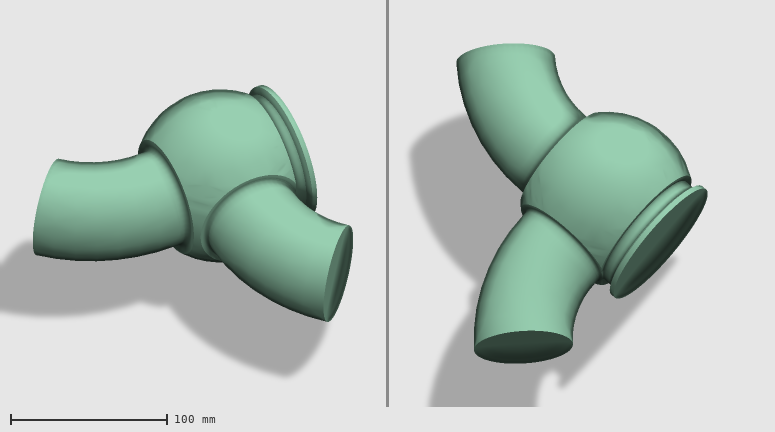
import cadquery as cq
import math

overall_length = 189.0

ball_radius = 55.5
side_flat = 42.0
front_flat = 39.7
back_flat = 32.5

pipe_radius = 31.8
bend_radius = 92.6
bend_angle = 45.0
side_fillet = 1.7
front_fillet = 2.8

bend_reach = (bend_radius + pipe_radius) * math.sin(math.radians(bend_angle))
bend_start = overall_length - ball_radius - bend_reach

neck_radius = 40.8
flange_radius = 45.4
flange_face = 46.1
rim_width = 3.4
bevel_width = 2.0


def make_ball():
    """Ball trimmed by planes on +X, +Y and -Y."""
    trim = cq.Workplane("XY").box(
        ball_radius + side_flat,
        back_flat + front_flat,
        2 * ball_radius,
    ).translate(((side_flat - ball_radius) / 2, (back_flat - front_flat) / 2, 0))
    return cq.Workplane("XY").sphere(ball_radius).intersect(trim)


def make_pipe(flat, fillet):
    """Pipe leaving along +X from the given flat and bending toward +Y."""
    arc_offset = fillet * (1 - math.sqrt(0.5))
    collar = (
        cq.Workplane("XY")
        .moveTo(0, 0)
        .lineTo(0, pipe_radius + fillet)
        .lineTo(flat, pipe_radius + fillet)
        .threePointArc(
            (flat + arc_offset, pipe_radius + arc_offset),
            (flat + fillet, pipe_radius),
        )
        .lineTo(bend_start, pipe_radius)
        .lineTo(bend_start, 0)
        .close()
        .revolve(360, (0, 0, 0), (1, 0, 0))
    )
    bend = (
        cq.Workplane("YZ", origin=(bend_start, 0, 0))
        .circle(pipe_radius)
        .revolve(bend_angle, (bend_radius, 0, 0), (bend_radius, 1, 0))
    )
    return collar.union(bend)


def make_front_pipe():
    """Pipe leaving along -Y and bending toward -X, mirrored about the line y = -x."""
    pipe = make_pipe(front_flat, front_fillet)
    return pipe.mirror("XZ").rotate((0, 0, 0), (0, 0, 1), -90)


def make_ferrule():
    """Neck and bevelled clamp flange along +Y."""
    rim_start = flange_face - rim_width
    bevel_start = rim_start - bevel_width
    return (
        cq.Workplane("XY")
        .moveTo(0, 0)
        .lineTo(neck_radius, 0)
        .lineTo(neck_radius, bevel_start)
        .lineTo(flange_radius, rim_start)
        .lineTo(flange_radius, flange_face)
        .lineTo(0, flange_face)
        .close()
        .revolve(360, (0, 0, 0), (0, 1, 0))
    )


result = (
    make_ball()
    .union(make_pipe(side_flat, side_fillet))
    .union(make_front_pipe())
    .union(make_ferrule())
)